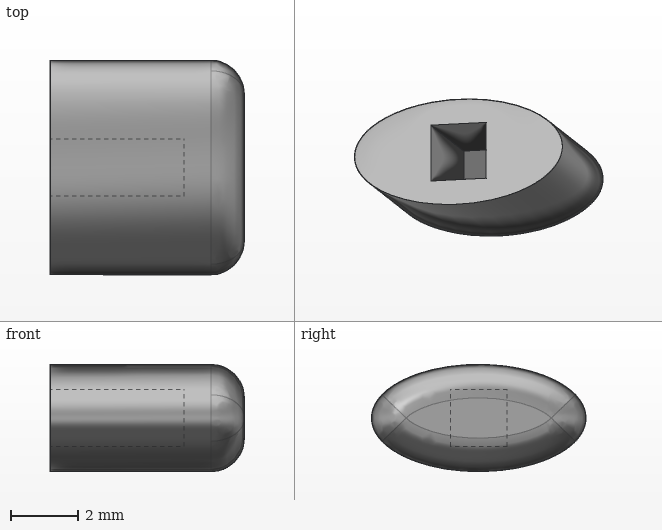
import math
import cadquery as cq

length = 5.8
width = 6.4
height = 3.2
round_radius = 1.0
socket_side = 1.7
socket_depth = 4.0

half_width = width / 2
half_height = height / 2
round_start = length - round_radius

aspect_squared = (half_height / half_width) ** 2
contact_y = math.sqrt((half_height**2 - round_radius**2) / (aspect_squared * (1 - aspect_squared)))
contact_z = half_height * math.sqrt(1 - (contact_y / half_width) ** 2)
ball_y = contact_y * (1 - aspect_squared)
contact_angle = math.acos(contact_y / half_width)

normals_meet_depth = contact_z * ball_y / (contact_y - ball_y)

tip_patch_steps = 4


def ellipse_arc(x, start_angle, end_angle):
    """Stretch of the body outline at the given X, between two parametric angles from +Y."""
    return cq.Edge.makeEllipse(
        half_width,
        half_height,
        pnt=(x, 0, 0),
        dir=(1, 0, 0),
        xdir=(0, 1, 0),
        angle1=math.degrees(start_angle),
        angle2=math.degrees(end_angle),
    )


def straight_body():
    """Elliptical barrel up to where the rounding starts."""
    return cq.Workplane("YZ").ellipse(half_width, half_height).extrude(round_start)


def upper_rounding():
    """Upper half of the rounded end, between the two tips."""
    arc = ellipse_arc(0, contact_angle, math.pi - contact_angle)
    apex = cq.Vector(0, 0, -normals_meet_depth)
    flanks = [cq.Edge.makeLine(arc.endPoint(), apex), cq.Edge.makeLine(apex, arc.startPoint())]
    outline = cq.Wire.assembleEdges([arc] + flanks)
    sector = cq.Solid.extrudeLinear(outline, [], cq.Vector(length, 0, 0))
    rounded = cq.Workplane(sector).faces(">X").edges(">Z").fillet(round_radius)
    kept_region = cq.Workplane("XY").box(round_radius, width, height, centered=(False, True, False))
    return rounded.intersect(kept_region.translate((round_start, 0, 0)))


def tip_point(angle, rise):
    """Point on the tip patch; the outline shrinks to the ball centre as rise goes to 90 degrees."""
    shrink = math.cos(rise)
    x = round_start + round_radius * math.sin(rise)
    y = ball_y + shrink * (half_width * math.cos(angle) - ball_y)
    z = shrink * half_height * math.sin(angle)
    return cq.Vector(x, y, z)


def flat_face(edges):
    return cq.Face.makeFromWires(cq.Wire.assembleEdges(edges))


def tip_rounding():
    """Wedge of the rounded end at the +Y tip, with a three-sided patch that ends at a point."""
    quarter_turn = math.pi / 2
    hub = cq.Vector(round_start, ball_y, 0)
    pole = cq.Vector(length, ball_y, 0)
    rim = ellipse_arc(round_start, -contact_angle, contact_angle)
    axis = cq.Edge.makeLine(hub, pole)

    meridians = []
    spokes = []
    for angle in (-contact_angle, contact_angle):
        rim_point = tip_point(angle, 0)
        middle_point = tip_point(angle, quarter_turn / 2)
        meridians.append(cq.Edge.makeThreePointArc(rim_point, middle_point, pole))
        spokes.append(cq.Edge.makeLine(hub, rim_point))

    inner_points = []
    for row in range(1, tip_patch_steps):
        rise = quarter_turn * row / tip_patch_steps
        for column in range(1, tip_patch_steps):
            angle = contact_angle * (2 * column / tip_patch_steps - 1)
            inner_points.append(tip_point(angle, rise))

    faces = [cq.Face.makeNSidedSurface([rim] + meridians, inner_points), flat_face([rim] + spokes)]
    for spoke, meridian in zip(spokes, meridians):
        faces.append(flat_face([spoke, meridian, axis]))
    return cq.Workplane(cq.Solid.makeSolid(cq.Shell.makeShell(faces)).fix())


def socket():
    """Square blind hole, opening at X = 0."""
    return cq.Workplane("YZ").rect(socket_side, socket_side).extrude(socket_depth)


upper = upper_rounding()
right_tip = tip_rounding()
rounded_end = upper.union(upper.mirror("XY")).union(right_tip).union(right_tip.mirror("XZ"))
body = straight_body().union(rounded_end).cut(socket())
result = cq.Workplane(body.val().Solids()[0])